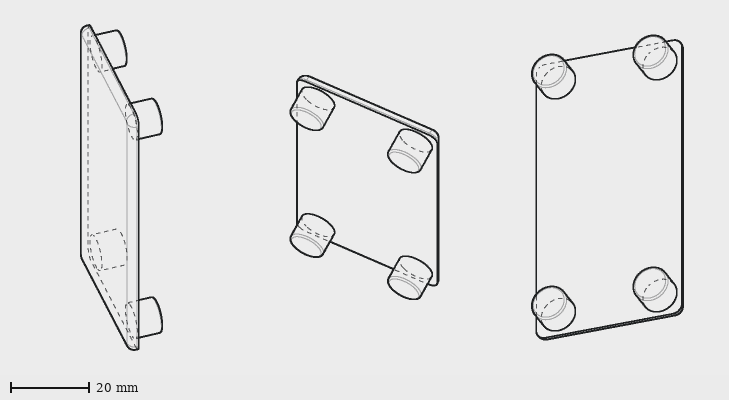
import cadquery as cq

plate_width = 40.0
plate_height = 80.0
plate_thickness = 2.6
corner_radius = 2.5
front_edge_radius = 2.0

total_depth = 9.5
peg_length = total_depth - plate_thickness
peg_diameter = 9.4
peg_edge_radius = 0.5
peg_inset = 6.1
peg_spacing_x = plate_width - 2 * peg_inset
peg_spacing_z = plate_height - 2 * peg_inset


def make_plate():
    """Rounded rectangular plate with its front rim filleted."""
    plate = cq.Workplane("XY").box(
        plate_width, plate_thickness, plate_height, centered=(True, False, True)
    )
    plate = plate.edges("|Y").fillet(corner_radius)
    return plate.faces("<Y").edges().fillet(front_edge_radius)


def make_pegs():
    """Pegs at the four corners, each with a rounded free end."""
    back_plane = cq.Workplane("XZ", origin=(0, plate_thickness, 0))
    pegs = (
        back_plane.rect(peg_spacing_x, peg_spacing_z, forConstruction=True)
        .vertices()
        .circle(peg_diameter / 2)
        .extrude(-peg_length)
    )
    return pegs.faces(">Y").edges().fillet(peg_edge_radius)


result = make_plate().union(make_pegs())